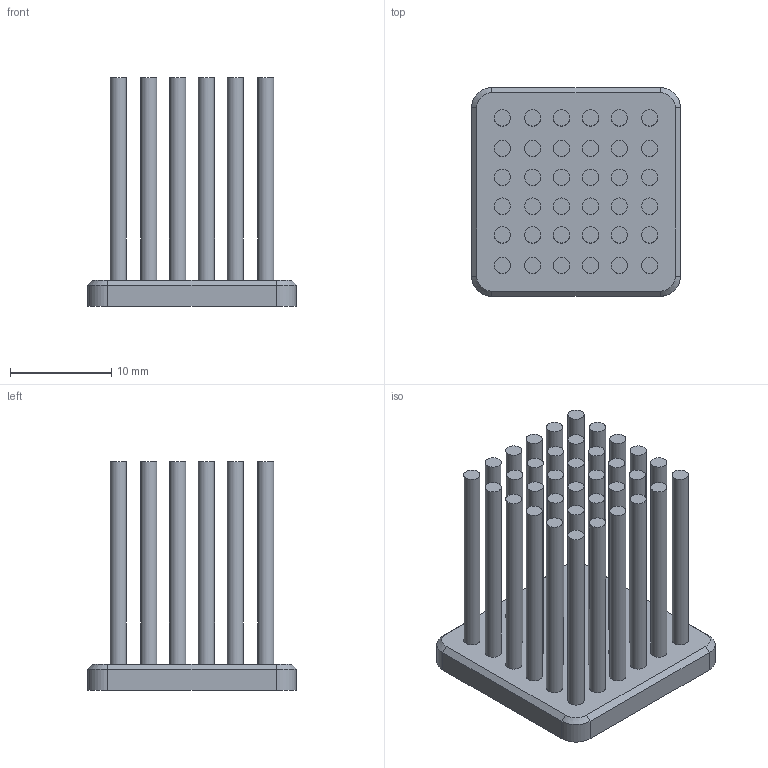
import cadquery as cq

base_side = 20.6
base_height = 2.6
corner_radius = 2.0
top_chamfer = 0.5

pin_diameter = 1.6
pin_height = 20.0
inner_pitch = 2.85
outer_pitch = 3.0
half_row_offsets = [
    inner_pitch / 2,
    inner_pitch * 3 / 2,
    inner_pitch * 3 / 2 + outer_pitch,
]


def make_base():
    """Square plate with rounded corners and a chamfered top edge."""
    plate = cq.Workplane("XY").rect(base_side, base_side).extrude(base_height)
    plate = plate.edges("|Z").fillet(corner_radius)
    return plate.faces(">Z").edges().chamfer(top_chamfer)


def add_pins(plate):
    """Square grid of round pins standing on top of the plate."""
    row_positions = [side * offset for offset in half_row_offsets for side in (-1, 1)]
    pin_centers = [(x, y) for x in row_positions for y in row_positions]
    pins = (
        cq.Workplane("XY")
        .pushPoints(pin_centers)
        .circle(pin_diameter / 2)
        .extrude(base_height + pin_height)
    )
    return plate.union(pins)


result = add_pins(make_base())